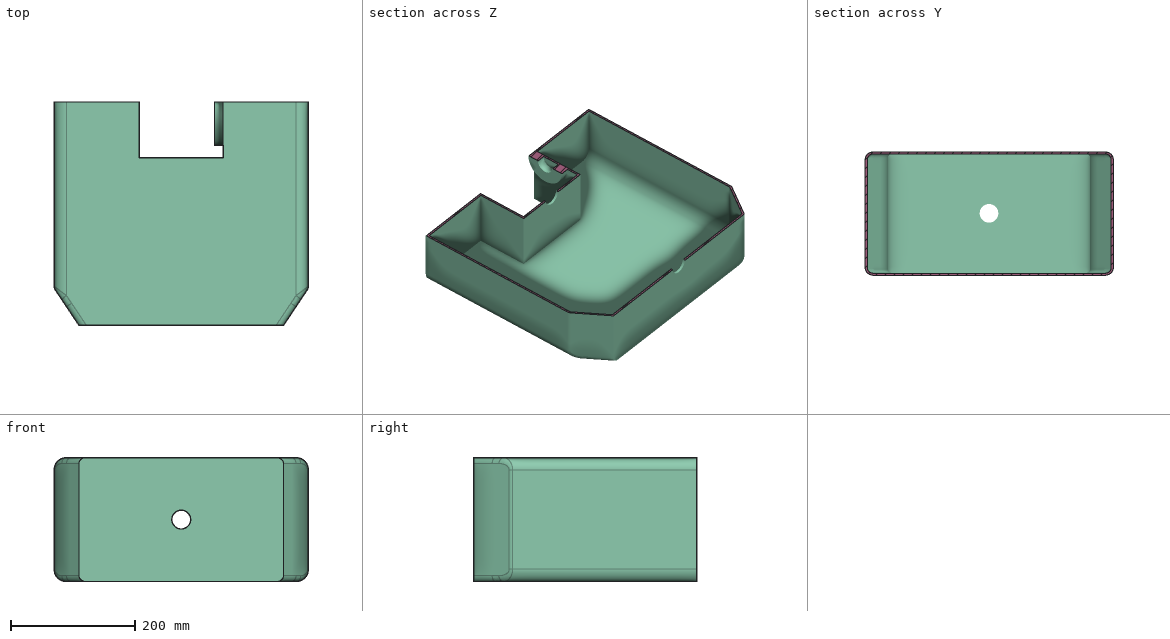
import cadquery as cq
import math

WIDTH = 410.0
DEPTH = 360.0
HEIGHT = 200.0
SIDE_FILLET = 20.0
WALL = 4.0

BEVEL_X = 40.0
BEVEL_Y = 60.0
BEVEL_FILLET = 10.0

NOTCH_WIDTH = 135.0
NOTCH_DEPTH = 90.0

BORE_DIAMETER = 30.0

BOSS_DIAMETER = 70.0
BOSS_THICKNESS = 14.0
BOSS_HOLE_DIAMETER = 30.0


def bevel_front_corner(body, side, inset):
    """Cut off the front corner on one side and round the bevel's edges except at the front face."""
    bevel_length = math.hypot(BEVEL_X, BEVEL_Y)
    shrink = 1 - inset * (BEVEL_X + BEVEL_Y - bevel_length) / (BEVEL_X * BEVEL_Y)
    outer_x = side * (WIDTH / 2 - inset)
    corner = (
        cq.Workplane("XY")
        .moveTo(outer_x, inset)
        .lineTo(outer_x - side * BEVEL_X * shrink, inset)
        .lineTo(outer_x, inset + BEVEL_Y * shrink)
        .close()
        .extrude(HEIGHT / 2, both=True)
    )
    body = body.cut(corner)
    bevel_normal = cq.Vector(side * BEVEL_Y, -BEVEL_X, 0)
    front_edge = cq.selectors.DirectionMinMaxSelector(cq.Vector(0, 1, 0), False)
    rounded_edges = cq.selectors.InverseSelector(front_edge)
    bevel = body.faces(cq.selectors.ParallelDirSelector(bevel_normal))
    return bevel.edges(rounded_edges).fillet(BEVEL_FILLET - inset)


def make_body(inset):
    """Rounded, bevelled and notched block with every face moved inward by the inset."""
    body = (
        cq.Workplane("XY", origin=(0, inset, 0))
        .box(WIDTH - 2 * inset, DEPTH - 2 * inset, HEIGHT - 2 * inset, centered=(True, False, True))
        .edges("|Y")
        .fillet(SIDE_FILLET - inset)
    )
    for side in (-1, 1):
        body = bevel_front_corner(body, side, inset)
    notch = (
        cq.Workplane("XY", origin=(0, DEPTH - NOTCH_DEPTH - inset, 0))
        .box(NOTCH_WIDTH + 2 * inset, NOTCH_DEPTH + inset, HEIGHT, centered=(True, False, True))
    )
    return body.cut(notch)


def make_bore():
    """Cylinder along Y on the block's centre line."""
    return cq.Workplane("XZ").circle(BORE_DIAMETER / 2).extrude(-DEPTH)


def make_boss():
    """Ring standing on the +X notch wall, with its hole ending at the wall."""
    inner_x = NOTCH_WIDTH / 2 - BOSS_THICKNESS
    center_y = DEPTH - BOSS_DIAMETER / 2
    return (
        cq.Workplane("YZ", origin=(inner_x, center_y, 0))
        .circle(BOSS_DIAMETER / 2)
        .circle(BOSS_HOLE_DIAMETER / 2)
        .extrude(BOSS_THICKNESS)
    )


shell = make_body(0).cut(make_body(WALL))
result = shell.cut(make_bore()).union(make_boss())